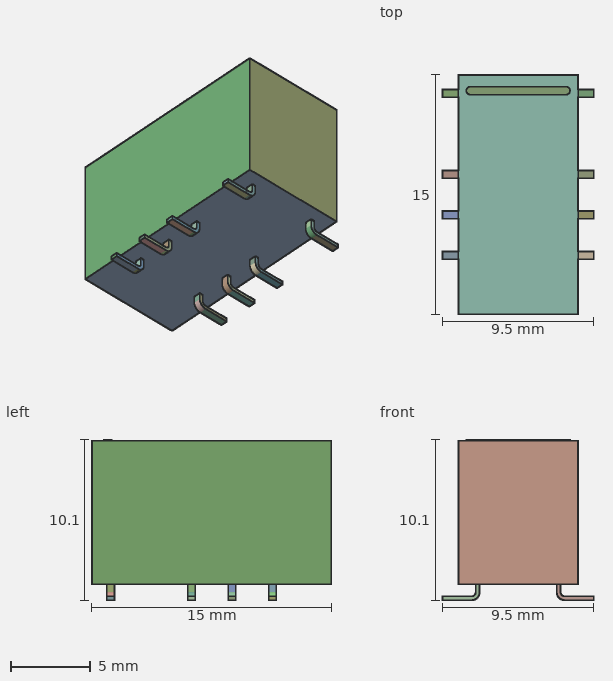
import cadquery as cq

body_width = 7.5
body_length = 15.0
body_height = 9.0
standoff = 1.0

lead_span = 9.5
lead_width = 0.5
lead_thickness = 0.25
inner_bend_radius = 0.25
outer_bend_radius = inner_bend_radius + lead_thickness
lead_pitch = 2.54
row_offset = lead_pitch
first_lead_y = 6.33
lead_steps = [0, 2, 3, 4]

mark_width = 0.5
mark_length = 6.5
mark_height = 0.05
mark_edge_gap = 0.75
mark_y = body_length / 2 - mark_edge_gap - mark_width / 2


def make_body():
    return (
        cq.Workplane("XY")
        .workplane(offset=standoff)
        .box(body_width, body_length, body_height, centered=(True, True, False))
    )


def make_mark():
    return (
        cq.Workplane("XY")
        .workplane(offset=standoff + body_height)
        .center(0, mark_y)
        .slot2D(mark_length, mark_width)
        .extrude(mark_height)
    )


def make_lead(center_y):
    """One lead on the +X side: a leg down from the body, bent outward into a flat foot."""
    leg_inside = row_offset - lead_thickness / 2
    leg_outside = row_offset + lead_thickness / 2
    bend_x = leg_outside + inner_bend_radius
    toe_x = lead_span / 2
    return (
        cq.Workplane("XZ", origin=(0, center_y, 0))
        .moveTo(leg_inside, standoff)
        .lineTo(leg_inside, outer_bend_radius)
        .radiusArc((bend_x, 0), -outer_bend_radius)
        .lineTo(toe_x, 0)
        .lineTo(toe_x, lead_thickness)
        .lineTo(bend_x, lead_thickness)
        .radiusArc((leg_outside, outer_bend_radius), inner_bend_radius)
        .lineTo(leg_outside, standoff)
        .close()
        .extrude(lead_width / 2, both=True)
    )


result = make_body().union(make_mark())
for step in lead_steps:
    lead = make_lead(first_lead_y - step * lead_pitch)
    result = result.union(lead).union(lead.mirror("YZ"))